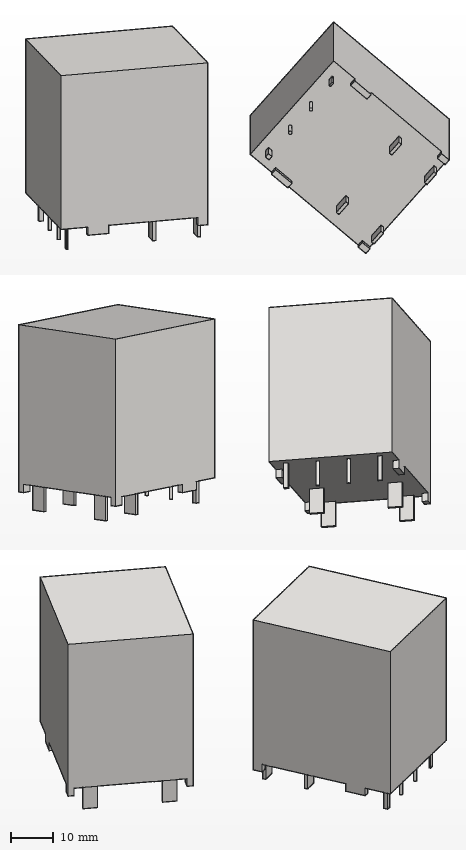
import cadquery as cq

case_width = 30.0
case_length = 36.0
case_height = 38.0
stand_off = 2.0
pin_drop = 4.0

foot_width = 1.5
rear_foot_length = 2.4
front_foot_length = 5.1
front_foot_setback = 6.6

coil_pin_y = -15.3
front_pin_face_y = -15.85
front_pin_outer_x = 12.0
front_pin_width = 1.1
front_pin_thickness = {-1: 1.1, 1: 0.4}
coil_pin_diameter = 0.8
coil_pin_spacing = 7.5
blade_outer_x = 11.25
blade_inner_x = 7.8
blade_width = blade_outer_x - blade_inner_x
blade_thickness = 0.8
blade_rows_y = (5.95, 16.9)

pin_length = stand_off + pin_drop
sides = (-1, 1)


def block(center_x, center_y, width, length, bottom, height):
    """Upright box centred on a point in plan."""
    plan = cq.Workplane("XY", origin=(center_x, center_y, bottom))
    return plan.rect(width, length).extrude(height)


def foot(side, front_y, length):
    """Foot flush with one long side of the case."""
    center_x = side * (case_width - foot_width) / 2
    return block(center_x, front_y + length / 2, foot_width, length, 0, stand_off)


def flat_pin(side, outer_x, center_y, width, thickness):
    """Rectangular pin hanging from the underside of the case."""
    center_x = side * (outer_x - width / 2)
    return block(center_x, center_y, width, thickness, -pin_drop, pin_length)


def front_pin(side):
    """Flat pin at one end of the front row; both share the plane of their front faces."""
    thickness = front_pin_thickness[side]
    center_y = front_pin_face_y + thickness / 2
    return flat_pin(side, front_pin_outer_x, center_y, front_pin_width, thickness)


def coil_pin(side):
    """Round pin in the front row."""
    origin = (side * coil_pin_spacing / 2, coil_pin_y, -pin_drop)
    return cq.Workplane("XY", origin=origin).circle(coil_pin_diameter / 2).extrude(pin_length)


result = block(0, 0, case_width, case_length, stand_off, case_height)

for side in sides:
    result = result.union(foot(side, case_length / 2 - rear_foot_length, rear_foot_length))
    result = result.union(foot(side, front_foot_setback - case_length / 2, front_foot_length))
    result = result.union(front_pin(side))
    result = result.union(coil_pin(side))
    for row_y in blade_rows_y:
        result = result.union(flat_pin(side, blade_outer_x, row_y, blade_width, blade_thickness))